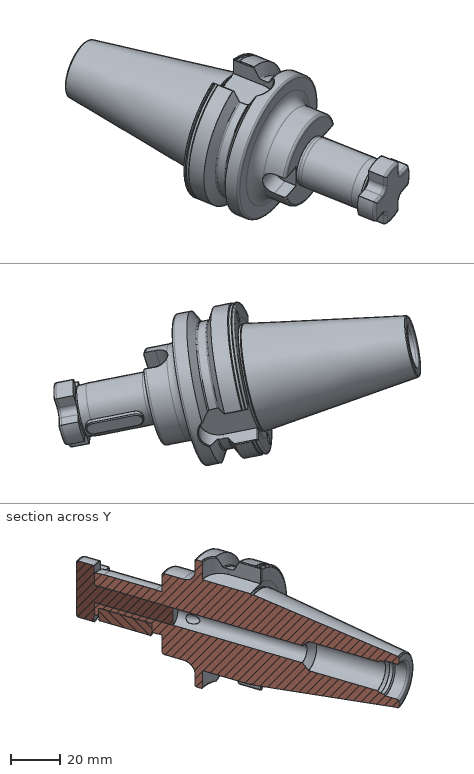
import cadquery as cq
import math

TOTAL_LENGTH = 147.4
TAPER_END_X = 66.5
FLANGE_FRONT_X = 67.0
FLANGE_BACK_X = 93.3
BOSS_END_X = 108.3
PILOT_END_X = 139.1

TAPER_SMALL_RADIUS = 12.7
TAPER_CHAMFER = 0.5
TAPER_RATE = 7 / 48
TAPER_LARGE_RADIUS = TAPER_SMALL_RADIUS + TAPER_RATE * TAPER_END_X
UNDERCUT_START_X = 66.9
UNDERCUT_DEPTH = 0.7
UNDERCUT_RADIUS = 22.1
UNDERCUT_OUTER_RADIUS = 25.0

FLANGE_RADIUS = 63.0 / 2
FLANGE_ROUND = 0.9
V_ROOT_RADIUS = 26.5
V_FRONT_X = 77.0
V_BACK_X = 87.0
V_HALF_ANGLE = math.radians(30)
V_RUN = (FLANGE_RADIUS - V_ROOT_RADIUS) * math.tan(V_HALF_ANGLE)
V_ROOT_FILLET = 0.7
RING_GROOVE_X = 68.1
RING_GROOVE_WIDTH = 1.8
RING_GROOVE_DEPTH = 0.37

SLOT_WIDTH = 16.0
SLOT_FLOOR = 22.5
SLOT_END_X = 89.8
SLOT_EDGE_CHAMFER = 0.5

BOSS_RADIUS = 40.2 / 2
BOSS_FILLET = 5.0
BOSS_ROUND = 1.2
POCKET_WIDTH = 10.5
POCKET_START_X = 97.9
POCKET_FLOOR = 10.9

PILOT_RADIUS = 10.9
RELIEF_RADIUS = 10.8
RELIEF_RAMP_X = 109.4
RELIEF_END_X = 110.8
LEAD_IN_X = 134.5
LEAD_IN_END_X = 138.4
LEAD_IN_RADIUS = 10.6
PILOT_TIP_RADIUS = 10.0

BORE_MOUTH_ROUND = 1.0
BORE_GUIDE_RADIUS = 8.5
BORE_GUIDE_DEPTH = 6.2
BORE_COUNTER_RADIUS = 8.0
BORE_COUNTER_DEPTH = 8.4
BORE_THREAD_START = 9.9
BORE_THREAD_RADIUS = 7.1
BORE_THREAD_DEPTH = 41.3
SCREW_HOLE_RADIUS = 4.1

COOLANT_RADIUS = 1.9
COOLANT_PITCH_RADIUS = 26.8
COOLANT_ANGLE = 20.0
COOLANT_TILT = 38.0

KEY_START_X = 113.0
KEY_END_X = 137.2
KEY_WIDTH = 6.2
KEY_BOTTOM = -12.7
KEY_HEIGHT = 6.0
KEY_CHAMFER = 0.5

HEAD_RADIUS = 14.0
HEAD_ROUND = 1.2
HEAD_ARM_WIDTH = 10.5
HEAD_CORNER_FILLET = 3.0
SHANK_TIP_X = 103.2


def revolve_about_x(profile):
    """Solid of revolution about the X axis of a closed profile in (x, radius)."""
    return profile.close().revolve(360, (0, 0, 0), (1, 0, 0))


def turned_blank():
    """Taper, plain flange, boss and pilot, turned as one piece."""
    profile = (
        cq.Workplane("XZ")
        .moveTo(0, 0)
        .lineTo(0, TAPER_SMALL_RADIUS - TAPER_CHAMFER)
        .lineTo(TAPER_CHAMFER, TAPER_SMALL_RADIUS + TAPER_RATE * TAPER_CHAMFER)
        .lineTo(TAPER_END_X, TAPER_LARGE_RADIUS)
        .lineTo(UNDERCUT_START_X, UNDERCUT_RADIUS)
        .lineTo(FLANGE_FRONT_X + UNDERCUT_DEPTH, UNDERCUT_RADIUS)
        .lineTo(FLANGE_FRONT_X, UNDERCUT_OUTER_RADIUS)
        .lineTo(FLANGE_FRONT_X, FLANGE_RADIUS)
        .lineTo(FLANGE_BACK_X - FLANGE_ROUND, FLANGE_RADIUS)
        .radiusArc((FLANGE_BACK_X, FLANGE_RADIUS - FLANGE_ROUND), FLANGE_ROUND)
        .lineTo(FLANGE_BACK_X, BOSS_RADIUS + BOSS_FILLET)
        .radiusArc((FLANGE_BACK_X + BOSS_FILLET, BOSS_RADIUS), -BOSS_FILLET)
        .lineTo(BOSS_END_X - BOSS_ROUND, BOSS_RADIUS)
        .radiusArc((BOSS_END_X, BOSS_RADIUS - BOSS_ROUND), BOSS_ROUND)
        .lineTo(BOSS_END_X, RELIEF_RADIUS)
        .lineTo(RELIEF_RAMP_X, RELIEF_RADIUS)
        .lineTo(RELIEF_END_X, PILOT_RADIUS)
        .lineTo(LEAD_IN_X, PILOT_RADIUS)
        .lineTo(LEAD_IN_END_X, LEAD_IN_RADIUS)
        .lineTo(PILOT_END_X, PILOT_TIP_RADIUS)
        .lineTo(PILOT_END_X, 0)
    )
    return revolve_about_x(profile)


def bore():
    """Stepped bore from the small end, with the screw hole running on through the pilot."""
    counter_step = BORE_GUIDE_RADIUS - BORE_COUNTER_RADIUS
    cone_depth = BORE_THREAD_RADIUS - SCREW_HOLE_RADIUS
    profile = (
        cq.Workplane("XZ")
        .moveTo(0, 0)
        .lineTo(0, BORE_GUIDE_RADIUS + BORE_MOUTH_ROUND)
        .radiusArc((BORE_MOUTH_ROUND, BORE_GUIDE_RADIUS), -BORE_MOUTH_ROUND)
        .lineTo(BORE_GUIDE_DEPTH, BORE_GUIDE_RADIUS)
        .lineTo(BORE_GUIDE_DEPTH + counter_step, BORE_COUNTER_RADIUS)
        .lineTo(BORE_COUNTER_DEPTH, BORE_COUNTER_RADIUS)
        .lineTo(BORE_THREAD_START, BORE_THREAD_RADIUS)
        .lineTo(BORE_THREAD_DEPTH, BORE_THREAD_RADIUS)
        .lineTo(BORE_THREAD_DEPTH + cone_depth, SCREW_HOLE_RADIUS)
        .lineTo(PILOT_END_X, SCREW_HOLE_RADIUS)
        .lineTo(PILOT_END_X, 0)
    )
    return revolve_about_x(profile)


def gripper_groove():
    """Ring with the V section of the gripper groove, filleted at both root corners."""
    tangent = V_ROOT_FILLET * math.tan((math.pi / 2 - V_HALF_ANGLE) / 2)
    rise = tangent * math.cos(V_HALF_ANGLE)
    run = tangent * math.sin(V_HALF_ANGLE)
    root_start = V_FRONT_X + V_RUN
    root_end = V_BACK_X - V_RUN
    profile = (
        cq.Workplane("XZ")
        .moveTo(V_FRONT_X, FLANGE_RADIUS)
        .lineTo(root_start - run, V_ROOT_RADIUS + rise)
        .radiusArc((root_start + tangent, V_ROOT_RADIUS), -V_ROOT_FILLET)
        .lineTo(root_end - tangent, V_ROOT_RADIUS)
        .radiusArc((root_end + run, V_ROOT_RADIUS + rise), -V_ROOT_FILLET)
        .lineTo(V_BACK_X, FLANGE_RADIUS)
    )
    return revolve_about_x(profile)


def ring_groove():
    """Ring that cuts the shallow groove with sloping walls near the front of the flange."""
    bottom = FLANGE_RADIUS - RING_GROOVE_DEPTH
    end = RING_GROOVE_X + RING_GROOVE_WIDTH
    profile = (
        cq.Workplane("XZ")
        .moveTo(RING_GROOVE_X, FLANGE_RADIUS)
        .lineTo(RING_GROOVE_X + RING_GROOVE_DEPTH, bottom)
        .lineTo(end - RING_GROOVE_DEPTH, bottom)
        .lineTo(end, FLANGE_RADIUS)
    )
    return revolve_about_x(profile)


def front_rounding():
    """Ring that rounds the front corner of the flange."""
    profile = (
        cq.Workplane("XZ")
        .moveTo(FLANGE_FRONT_X, FLANGE_RADIUS)
        .lineTo(FLANGE_FRONT_X, FLANGE_RADIUS - FLANGE_ROUND)
        .radiusArc((FLANGE_FRONT_X + FLANGE_ROUND, FLANGE_RADIUS), FLANGE_ROUND)
    )
    return revolve_about_x(profile)


def drive_slot():
    """Round-ended slot on the +Z side, open to the front through chamfered corners."""
    half_width = SLOT_WIDTH / 2
    flared_half_width = half_width + SLOT_EDGE_CHAMFER
    straight_start = FLANGE_FRONT_X + SLOT_EDGE_CHAMFER
    straight_end = SLOT_END_X - half_width
    return (
        cq.Workplane("XY", origin=(0, 0, SLOT_FLOOR))
        .moveTo(TAPER_END_X, -flared_half_width)
        .lineTo(FLANGE_FRONT_X, -flared_half_width)
        .lineTo(straight_start, -half_width)
        .lineTo(straight_end, -half_width)
        .threePointArc((SLOT_END_X, 0), (straight_end, half_width))
        .lineTo(straight_start, half_width)
        .lineTo(FLANGE_FRONT_X, flared_half_width)
        .lineTo(TAPER_END_X, flared_half_width)
        .close()
        .extrude(FLANGE_RADIUS)
    )


def boss_pocket():
    """Round-started pocket, open at the end of the boss, on the -Y side."""
    half_width = POCKET_WIDTH / 2
    straight_start = POCKET_START_X + half_width
    return (
        cq.Workplane("XZ", origin=(0, -POCKET_FLOOR, 0))
        .moveTo(BOSS_END_X, -half_width)
        .lineTo(straight_start, -half_width)
        .threePointArc((POCKET_START_X, 0), (straight_start, half_width))
        .lineTo(BOSS_END_X, half_width)
        .close()
        .extrude(BOSS_RADIUS)
    )


def coolant_hole():
    """Inclined hole from the flange face to the axis, in the XY plane on the +Y side."""
    tilt = math.radians(COOLANT_TILT)
    direction = cq.Vector(math.cos(tilt), -math.sin(tilt), 0)
    mouth = cq.Vector(FLANGE_FRONT_X, COOLANT_PITCH_RADIUS, 0)
    start = mouth - direction * (2 * COOLANT_RADIUS)
    length = COOLANT_PITCH_RADIUS / math.sin(tilt) + 2 * COOLANT_RADIUS
    return cq.Workplane(obj=cq.Solid.makeCylinder(COOLANT_RADIUS, length, start, direction))


def key_blank():
    """Round-ended block under the pilot, the shape of the key and of its seat."""
    length = KEY_END_X - KEY_START_X
    middle = (KEY_START_X + KEY_END_X) / 2
    outline = cq.Workplane("XY", origin=(middle, 0, KEY_BOTTOM)).slot2D(length, KEY_WIDTH)
    return outline.extrude(KEY_HEIGHT)


def make_key():
    """Key with a chamfered outer face."""
    return key_blank().faces("<Z").chamfer(KEY_CHAMFER)


def slot_rim():
    """Selector of the slot edges on the outer surface of the flange, on the +Z side."""
    margin = SLOT_EDGE_CHAMFER
    reach = SLOT_WIDTH / 2 + 2 * margin
    wall_middle = (SLOT_FLOOR + FLANGE_RADIUS) / 2
    corner = (FLANGE_FRONT_X, -reach, wall_middle + margin)
    opposite = (SLOT_END_X + margin, reach, FLANGE_RADIUS + margin)
    return cq.selectors.BoxSelector(corner, opposite)


def make_holder():
    """Tool holder with its slots, grooves, pockets, coolant holes, bore and key seat."""
    holder = turned_blank()
    for _ in range(2):
        holder = holder.cut(drive_slot()).edges(slot_rim()).chamfer(SLOT_EDGE_CHAMFER)
        holder = holder.rotate((0, 0, 0), (1, 0, 0), 180)
    for ring in (front_rounding(), ring_groove(), gripper_groove()):
        holder = holder.cut(ring)
    for angle in (0, 180):
        holder = holder.cut(boss_pocket().rotate((0, 0, 0), (1, 0, 0), angle))
        turn = angle + COOLANT_ANGLE
        holder = holder.cut(coolant_hole().rotate((0, 0, 0), (1, 0, 0), turn))
    return holder.cut(bore()).cut(key_blank())


def make_screw():
    """Screw with a four-armed head, the arms pointing along Y and Z."""
    length = TOTAL_LENGTH - PILOT_END_X
    reach = 2 * HEAD_RADIUS
    plane = cq.Workplane("YZ", origin=(PILOT_END_X, 0, 0))
    cross = (
        plane.rect(HEAD_ARM_WIDTH, reach).extrude(length)
        .union(plane.rect(reach, HEAD_ARM_WIDTH).extrude(length))
    )
    inner_reach = HEAD_ARM_WIDTH / 2 + HEAD_CORNER_FILLET
    inner_corners = cq.selectors.BoxSelector(
        (PILOT_END_X, -inner_reach, -inner_reach),
        (TOTAL_LENGTH, inner_reach, inner_reach),
    )
    cross = cross.edges("|X").edges(inner_corners).fillet(HEAD_CORNER_FILLET)
    disc = plane.circle(HEAD_RADIUS).extrude(length)
    shank = (
        cq.Workplane("YZ", origin=(SHANK_TIP_X, 0, 0))
        .circle(SCREW_HOLE_RADIUS)
        .extrude(PILOT_END_X - SHANK_TIP_X)
    )
    head = cross.intersect(disc).faces(">X").edges().fillet(HEAD_ROUND)
    return head.union(shank)


holder = make_holder()
key = make_key()
screw = make_screw()
result = cq.Compound.makeCompound([holder.val(), key.val(), screw.val()])